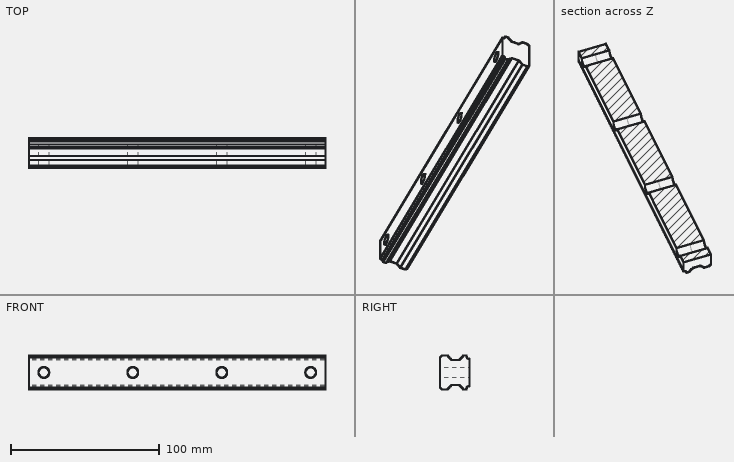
import cadquery as cq

length = 200.0
width = 20.0
height = 23.0
groove_depth = 3.0
front_chamfer = 1.5
hole_diameter = 7.0
hole_count = 4
hole_pitch = 60.0

shoulder_edge_drop = 2.5
shoulder_top_drop = 1.8
shoulder_inner_y = 8.5
step_top_y = 7.8

rear_land_y = 5.5
rear_arc_mid_y = 5.2
rear_arc_mid_drop = 1.0
rear_knee_y = 4.2
rear_floor_y = 3.0
rear_knee_drop = groove_depth - (rear_knee_y - rear_floor_y)

front_floor_y = -2.2
front_break_y = -4.5
front_break_drop = 0.5
front_land_y = -4.8

half_width = width / 2
half_height = height / 2


def rail_profile():
    """Section in the YZ plane, symmetric about Z = 0."""

    def below_top(y, drop):
        return (y, half_height - drop)

    def above_bottom(y, drop):
        return (y, drop - half_height)

    rear_edge = [
        (half_width, shoulder_edge_drop),
        (shoulder_inner_y, shoulder_top_drop),
        (step_top_y, 0),
        (rear_land_y, 0),
    ]
    rear_arc_mid = (rear_arc_mid_y, rear_arc_mid_drop)
    front_edge = [
        (rear_knee_y, rear_knee_drop),
        (rear_floor_y, groove_depth),
        (front_floor_y, groove_depth),
        (front_break_y, front_break_drop),
        (front_land_y, 0),
        (front_chamfer - half_width, 0),
        (-half_width, front_chamfer),
    ]

    profile = cq.Workplane("YZ").moveTo(*below_top(*rear_edge[0]))
    for point in rear_edge[1:]:
        profile = profile.lineTo(*below_top(*point))
    profile = profile.threePointArc(below_top(*rear_arc_mid), below_top(*front_edge[0]))
    for point in front_edge[1:]:
        profile = profile.lineTo(*below_top(*point))
    for point in reversed(front_edge):
        profile = profile.lineTo(*above_bottom(*point))
    profile = profile.threePointArc(above_bottom(*rear_arc_mid), above_bottom(*rear_edge[-1]))
    for point in reversed(rear_edge[:-1]):
        profile = profile.lineTo(*above_bottom(*point))
    return profile.close()


def mounting_holes():
    """Row of through holes along Y, centred on the rail."""
    return (
        cq.Workplane("XZ")
        .rarray(hole_pitch, 2, hole_count, 1)
        .circle(hole_diameter / 2)
        .extrude(half_width, both=True)
    )


rail = rail_profile().extrude(length / 2, both=True)
result = rail.cut(mounting_holes())